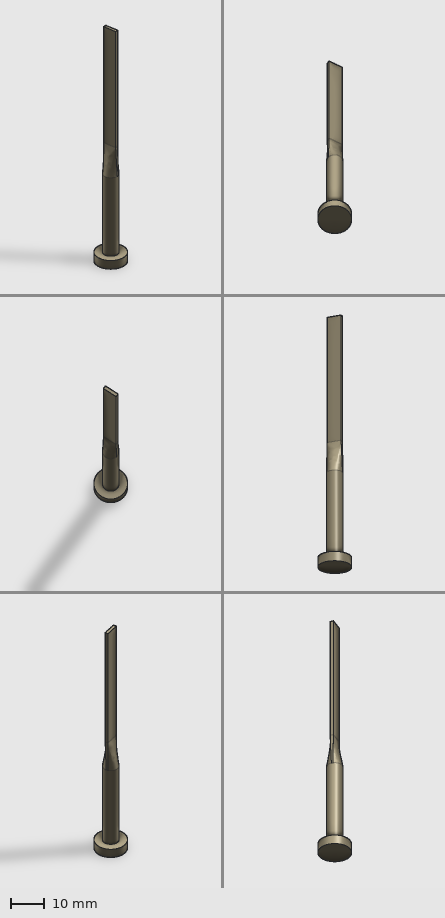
import cadquery as cq

total_length = 80.0
head_diameter = 10.0
head_height = 0.3 * head_diameter
shaft_diameter = head_diameter / 2
blade_width = 4.6
blade_thickness = 1.0
blade_length = total_length / 2
transition_length = 10.0

blade_base = total_length - blade_length
shaft_top = blade_base - transition_length


def round_section(diameter, bottom, top):
    """Cylinder on the axis between two heights."""
    return cq.Workplane("XY").workplane(offset=bottom).circle(diameter / 2).extrude(top - bottom)


head = round_section(head_diameter, 0, head_height)
shaft = round_section(shaft_diameter, head_height, shaft_top)

transition = (
    cq.Workplane("XY")
    .workplane(offset=shaft_top)
    .circle(shaft_diameter / 2)
    .workplane(offset=transition_length)
    .rect(blade_width, blade_thickness)
    .loft(ruled=True)
)

blade = (
    cq.Workplane("XY")
    .workplane(offset=blade_base)
    .rect(blade_width, blade_thickness)
    .extrude(blade_length)
)

result = head.union(shaft).union(transition).union(blade)